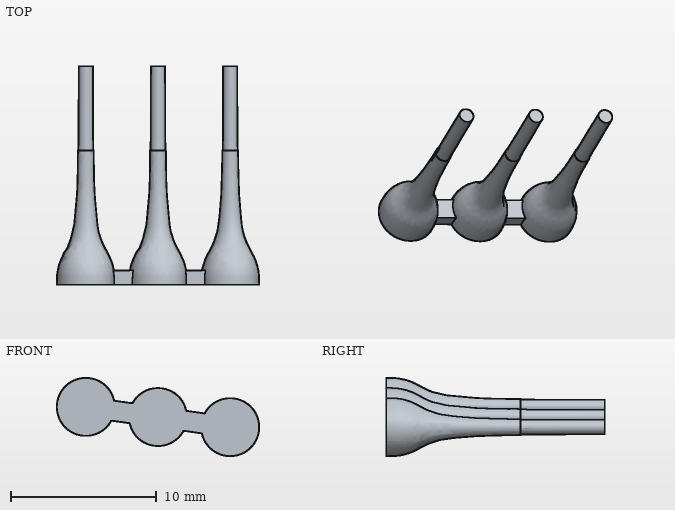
import cadquery as cq

LENGTH = 15.0
HEAD_RADIUS = 2.0
TIP_RADIUS = 0.5
PIN_COUNT = 3
PITCH = 5.0
ROW_TILT = 8.0
WEB_HEIGHT = 1.4
WEB_DEPTH = 1.0

FLANK_POINTS = [
    (1.95, 0.93),
    (1.66, 1.88),
    (1.18, 2.8),
    (0.87, 3.75),
    (0.72, 4.95),
    (0.6, 6.6),
    (0.55, 9.0),
]


def make_pin(x):
    """Turned pin on a Y axis: a rounded bulb flowing into a slender stem."""
    flank = FLANK_POINTS + [(TIP_RADIUS, LENGTH)]
    profile = (
        cq.Workplane("XY")
        .lineTo(HEAD_RADIUS, 0)
        .spline(flank, tangents=[(0, 1), (0, 1)], includeCurrent=True)
        .lineTo(0, LENGTH)
        .close()
    )
    pin = profile.revolve(360, (0, 0, 0), (0, 1, 0))
    return pin.translate((x, 0, 0))


def make_web(row_span):
    """Flat bar joining the bulbs, ending on the outer pin axes."""
    return cq.Workplane("XY").box(row_span, WEB_DEPTH, WEB_HEIGHT, centered=(True, False, True))


row_span = (PIN_COUNT - 1) * PITCH
result = make_web(row_span)
for index in range(PIN_COUNT):
    result = result.union(make_pin(index * PITCH - row_span / 2))
result = result.rotate((0, 0, 0), (0, 1, 0), ROW_TILT)